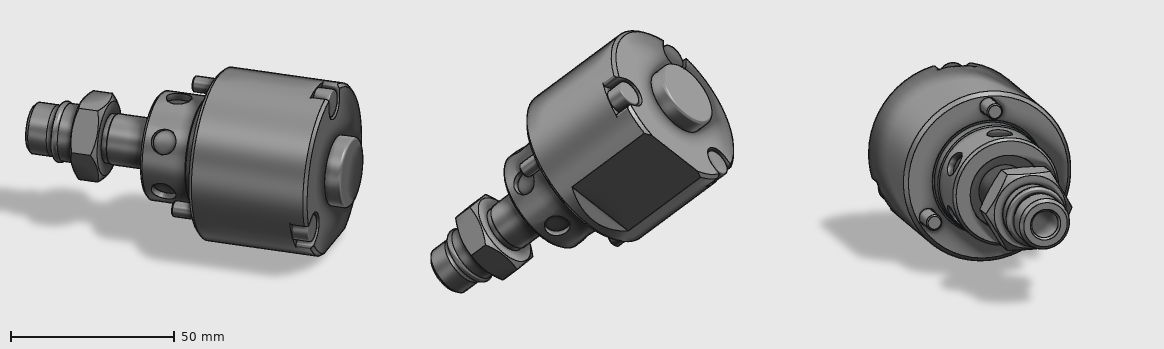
import cadquery as cq
import math


nose_diameter = 16.0
stem_diameter = 15.8
stem_chamfer = 0.2
bore_diameter = 8.5
bore_chamfer = 0.6
nose_chamfer = 1.0
nose_taper_start = 7.0
groove_diameter = 13.5
bead_centre_x = 9.9
bead_radius = 1.2
bead_diameter = 19.0
collar_diameter = 18.0
collar_end = 15.6
collar_chamfer = 0.2
hex_start = 15.9
hex_length = 8.8
hex_across_flats = 24.0
hex_face_diameter = 23.0
hex_chamfer_angle = 30
neck_diameter = 15.3
neck_length = 1.7

sleeve_start = 40.3
sleeve_diameter = 34.0
sleeve_chamfer = 0.8
recess_diameter = 23.4
recess_depth = 3.1
shoulder_start = 55.0
shoulder_diameter = 34.8
rim_diameter = 36.0
rim_length = 0.3
drum_start = 59.2
drum_end = 97.6
drum_diameter = 53.7
drum_front_chamfer = 1.2
drum_back_chamfer = 1.0
cap_neck_diameter = 18.4
cap_start = 98.2
cap_end = 103.4
cap_diameter = 22.0
cap_fillet = 1.0

radial_hole_count = 6
radial_hole_diameter = 7.9
radial_hole_x = 47.3
radial_floor_diameter = 29.8

flat_height = 23.9
ramp_start = 62.6

screw_count = 3
screw_circle_radius = 22.4
pin_diameter = 5.0
pin_start = 52.2
pin_chamfer = 0.4
clearance_diameter = 5.5
clearance_depth = 2.1
notch_length = 5.7
notch_width = 10.0
notch_fillet = 1.0
head_diameter = 8.5
head_end = 97.1
head_fillet = 0.4

drum_radius = drum_diameter / 2
hex_end = hex_start + hex_length
recess_floor = sleeve_start + recess_depth
notch_start = drum_end - notch_length


def revolve_about_x(outline):
    return outline.close().revolve(360, (0, 0, 0), (1, 0, 0))


def rod(diameter, start, end):
    """Cylinder along the X axis."""
    return cq.Workplane("YZ", origin=(start, 0, 0)).circle(diameter / 2).extrude(end - start)


def repeat_about_x(shape, count):
    """Equally spaced copies around the X axis; the first one stays in place."""
    return [shape.rotate((0, 0, 0), (1, 0, 0), i * 360 / count) for i in range(count)]


def make_hexagon():
    corner_diameter = hex_across_flats / math.cos(math.radians(30))
    prism = (
        cq.Workplane("YZ", origin=(hex_start, 0, 0))
        .polygon(6, corner_diameter)
        .extrude(hex_length)
    )
    face_radius = hex_face_diameter / 2
    chamfer_length = corner_diameter / 2 - face_radius
    rise = chamfer_length / math.tan(math.radians(hex_chamfer_angle))
    blank = revolve_about_x(
        cq.Workplane("XY").polyline([
            (hex_start, 0),
            (hex_start, face_radius),
            (hex_start + chamfer_length, face_radius + rise),
            (hex_end - chamfer_length, face_radius + rise),
            (hex_end, face_radius),
            (hex_end, 0),
        ])
    )
    return prism.intersect(blank)


def make_shaft():
    nose_radius = nose_diameter / 2
    stem_radius = stem_diameter / 2
    groove_radius = groove_diameter / 2
    collar_radius = collar_diameter / 2
    bead_centre_radius = bead_diameter / 2 - bead_radius
    bead_start = bead_centre_x - bead_radius
    collar_rise = collar_radius - bead_centre_radius
    collar_start = bead_centre_x + math.sqrt(bead_radius**2 - collar_rise**2)
    neck_end = hex_end + neck_length

    turned = revolve_about_x(
        cq.Workplane("XY")
        .moveTo(0, 0)
        .lineTo(0, nose_radius - nose_chamfer)
        .lineTo(nose_chamfer, nose_radius)
        .lineTo(nose_taper_start, nose_radius)
        .lineTo(nose_taper_start + nose_radius - groove_radius, groove_radius)
        .lineTo(bead_centre_x, groove_radius)
        .lineTo(bead_centre_x, bead_centre_radius - bead_radius)
        .threePointArc((bead_start, bead_centre_radius), (collar_start, collar_radius))
        .lineTo(collar_end - collar_chamfer, collar_radius)
        .lineTo(collar_end, collar_radius - collar_chamfer)
        .lineTo(hex_end, collar_radius - collar_chamfer)
        .lineTo(hex_end, neck_diameter / 2)
        .lineTo(neck_end, neck_diameter / 2)
        .lineTo(neck_end, stem_radius - stem_chamfer)
        .lineTo(neck_end + stem_chamfer, stem_radius)
        .lineTo(recess_floor, stem_radius)
        .lineTo(recess_floor, 0)
    )
    bore_radius = bore_diameter / 2
    bore = revolve_about_x(
        cq.Workplane("XY").polyline([
            (0, 0),
            (0, bore_radius + bore_chamfer),
            (bore_chamfer, bore_radius),
            (recess_floor, bore_radius),
            (recess_floor, 0),
        ])
    )
    return turned.union(make_hexagon()).cut(bore)


def make_sleeve():
    sleeve = rod(sleeve_diameter, sleeve_start, drum_start).faces("<X").chamfer(sleeve_chamfer)
    step = (shoulder_diameter - sleeve_diameter) / 2
    shoulder = rod(shoulder_diameter, shoulder_start, drum_start).faces("<X").chamfer(step)
    rim = rod(rim_diameter, drum_start - rim_length, drum_start)
    return sleeve.union(shoulder).union(rim)


def make_radial_holes():
    drill = (
        cq.Workplane("XY", origin=(radial_hole_x, 0, 0))
        .circle(radial_hole_diameter / 2)
        .extrude(sleeve_diameter)
    )
    core = rod(radial_floor_diameter, sleeve_start, shoulder_start)
    return repeat_about_x(drill.cut(core), radial_hole_count)


def make_drum():
    drum = (
        rod(drum_diameter, drum_start, drum_end)
        .faces("<X").chamfer(drum_front_chamfer)
        .faces(">X").chamfer(drum_back_chamfer)
    )
    ramp_end = ramp_start + drum_radius - flat_height
    underside = (
        cq.Workplane("XZ")
        .polyline([
            (ramp_start, -drum_radius),
            (ramp_end, -flat_height),
            (drum_end, -flat_height),
            (drum_end, -drum_radius),
        ])
        .close()
        .extrude(drum_radius, both=True)
    )
    return drum.cut(underside)


def make_cap():
    cap = rod(cap_diameter, cap_start, cap_end).faces(">X").edges().fillet(cap_fillet)
    return rod(cap_neck_diameter, drum_end, cap_start).union(cap)


def make_notch():
    """Cutter for the top notch: round-bottomed slot with rounded outer edges."""
    half_width = notch_width / 2
    centre_y = half_width + notch_fillet
    centre_reach = drum_radius - notch_fillet
    centre_z = math.sqrt(centre_reach**2 - centre_y**2)
    tangent_y = centre_y * drum_radius / centre_reach
    tangent_z = centre_z * drum_radius / centre_reach
    middle_angle = (math.pi + math.atan2(centre_z, centre_y)) / 2
    middle_y = centre_y + notch_fillet * math.cos(middle_angle)
    middle_z = centre_z + notch_fillet * math.sin(middle_angle)
    return (
        cq.Workplane("YZ", origin=(notch_start, 0, 0))
        .moveTo(-half_width, screw_circle_radius)
        .threePointArc((0, screw_circle_radius - half_width), (half_width, screw_circle_radius))
        .lineTo(half_width, centre_z)
        .threePointArc((middle_y, middle_z), (tangent_y, tangent_z))
        .lineTo(tangent_y, drum_diameter)
        .lineTo(-tangent_y, drum_diameter)
        .lineTo(-tangent_y, tangent_z)
        .threePointArc((-middle_y, middle_z), (-half_width, centre_z))
        .close()
        .extrude(notch_length)
    )


def make_clearance_hole():
    """Cutter for the shallow gap around the top pin."""
    hole = rod(clearance_diameter, drum_start, drum_start + clearance_depth)
    return hole.translate((0, 0, screw_circle_radius))


def make_screw_ends():
    """Pin tip and head of the top screw."""
    pin = rod(pin_diameter, pin_start, drum_start + clearance_depth).faces("<X").chamfer(pin_chamfer)
    head = rod(head_diameter, notch_start, head_end).faces(">X").edges().fillet(head_fillet)
    return [end.translate((0, 0, screw_circle_radius)) for end in (pin, head)]


def make_housing():
    body = make_drum().union(make_sleeve()).union(make_cap())
    body = body.cut(rod(recess_diameter, sleeve_start, recess_floor))
    for hole in make_radial_holes():
        body = body.cut(hole)
    for cutter in (make_clearance_hole(), make_notch()):
        for copy in repeat_about_x(cutter, screw_count):
            body = body.cut(copy)
    for screw_end in make_screw_ends():
        for copy in repeat_about_x(screw_end, screw_count):
            body = body.union(copy)
    return body


shaft = make_shaft()
housing = make_housing()

result = cq.Compound.makeCompound([shaft.val(), housing.val()])